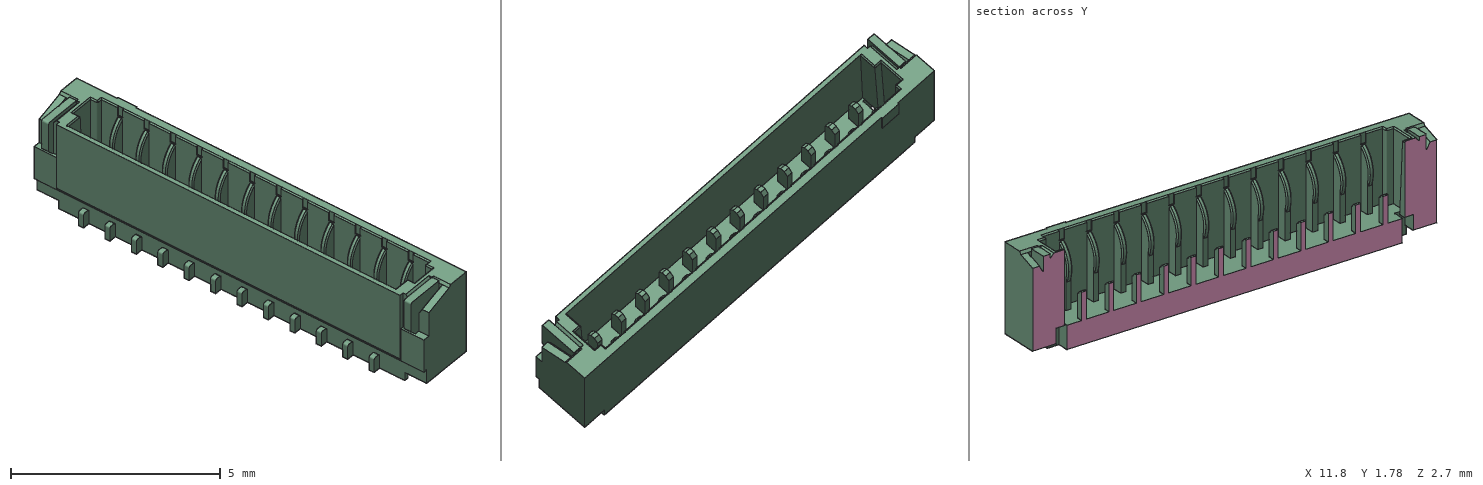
import cadquery as cq

LENGTH = 11.8
DEPTH = 1.78
HEIGHT = 2.7
OVERLAP = 0.02
FRONT = -DEPTH / 2
BACK_RIB_PROUD = 0.04
BACK = DEPTH / 2 - BACK_RIB_PROUD
HALF = LENGTH / 2

BASE_TOP = 0.66
BASE_FRONT = FRONT + 0.21
END_FRONT = FRONT + 0.11
WALL_FRONT = FRONT + 0.07
WALL_HALF = 5.2
WALL_LIP = 0.08
FOOT_HALF = 5.24
FOOT_CLEARANCE = 0.25
BACK_RIB_CENTRE = -4.39
BACK_RIB_WIDTH = 0.57
BACK_RIB_BOTTOM = 2.21

CAVITY_FLOOR = BASE_TOP
CAVITY_HALF = 4.99
CAVITY_BACK = 0.65
CAVITY_FRONT = -0.7
KEY_HALF = 5.2
KEY_BACK = 0.5
KEY_FRONT = -0.25
KEY_FOOT = -0.1
FRONT_FOOT = -0.63
LEAD_IN = 0.04
RAMP_FRONT = CAVITY_FRONT - LEAD_IN
INNER_BACK = CAVITY_BACK - LEAD_IN
WINDOW_INNER = 4.9
WINDOW_BACK = 0.04
WINDOW_FRONT = -0.55

PLATE_INNER = 5.38
PLATE_OUTER = 5.59
PLATE_BACK = 0.19
PLATE_STEP = 1.82
PLATE_ROUND = 0.06
LEDGE = 1.65
SHOULDER_FRONT = FRONT + 0.19
SHOULDER_BEVEL = 0.1
SHOULDER_BEVEL_DROP = 0.11
CHEEK_BACK = 0.25
SLOPE_BACK = PLATE_BACK
SLOPE_TOP = HEIGHT - 0.07
CHEEK_FRONT = -0.59
CHEEK_LOW = 2.37
CHEEK_BEVEL = 0.11
CHEEK_BEVEL_DROP = 0.18

PIN_COUNT = 12
PITCH = 0.8
PIN_WIDTH = 0.15
TAIL_HEIGHT = 0.44
TAIL_ROUND = 0.06
BLADE_FRONT = 0.34
BLADE_TOP = 2.42
BLADE_SHOULDER = 1.42
BLADE_BULGE = (0.4, 2.17)
BLADE_BEVEL = 0.04
PRONG_BACK = -0.13
PRONG_FRONT = -0.46
PRONG_TOP = 1.42
PRONG_BEVEL = 0.11


def box(x0, x1, y0, y1, z0, z1):
    return cq.Workplane("XY").box(x1 - x0, y1 - y0, z1 - z0, centered=False).translate((x0, y0, z0))


def side_profile(points, x0, x1):
    """Extrude a closed (Y, Z) outline from x0 to x1."""
    return cq.Workplane("YZ").polyline(points).close().extrude(x1 - x0).translate((x0, 0, 0))


def both_ends(body):
    return body.union(body.mirror("YZ"))


def housing_block():
    base = box(-HALF, HALF, BASE_FRONT, BACK, FOOT_CLEARANCE, BASE_TOP + OVERLAP)
    foot = box(-FOOT_HALF, FOOT_HALF, BASE_FRONT, BACK, 0, FOOT_CLEARANCE + OVERLAP)
    upper = box(-HALF, HALF, END_FRONT, BACK, BASE_TOP, HEIGHT)
    wall = side_profile(
        [
            (BACK, BASE_TOP),
            (END_FRONT, BASE_TOP),
            (WALL_FRONT, BASE_TOP + WALL_LIP),
            (WALL_FRONT, HEIGHT),
            (BACK, HEIGHT),
        ],
        -WALL_HALF,
        WALL_HALF,
    )
    rib_start = BACK_RIB_CENTRE - BACK_RIB_WIDTH / 2
    rib_end = BACK_RIB_CENTRE + BACK_RIB_WIDTH / 2
    rib = box(rib_start, rib_end, BACK - OVERLAP, DEPTH / 2, BACK_RIB_BOTTOM, HEIGHT)
    return base.union(foot).union(upper).union(wall).union(rib)


def cavity():
    right_side = [
        (CAVITY_HALF, RAMP_FRONT),
        (CAVITY_HALF, KEY_FRONT),
        (KEY_HALF, KEY_FRONT),
        (KEY_HALF, KEY_BACK),
        (CAVITY_HALF, KEY_BACK),
        (CAVITY_HALF, CAVITY_BACK),
    ]
    left_side = [(-x, y) for x, y in reversed(right_side)]
    mouth = cq.Workplane("XY").workplane(offset=HEIGHT).polyline(right_side + left_side).close()
    bevel = mouth.extrude(-LEAD_IN, taper=45)
    well = bevel.faces("<Z").wires().toPending().extrude(CAVITY_FLOOR - HEIGHT + LEAD_IN, combine=False)
    return bevel.union(well)


def cavity_ramps():
    """Fill that makes the front faces of the cavity and its grooves lean in toward the floor."""
    front = side_profile(
        [
            (RAMP_FRONT, HEIGHT),
            (CAVITY_FRONT, HEIGHT),
            (FRONT_FOOT, CAVITY_FLOOR),
            (RAMP_FRONT, CAVITY_FLOOR),
        ],
        -CAVITY_HALF,
        CAVITY_HALF,
    )
    bevel_bottom = HEIGHT - LEAD_IN
    groove = side_profile(
        [
            (KEY_FRONT, bevel_bottom),
            (KEY_FRONT + LEAD_IN, bevel_bottom),
            (KEY_FOOT, CAVITY_FLOOR),
            (KEY_FRONT, CAVITY_FLOOR),
        ],
        CAVITY_HALF - LEAD_IN,
        KEY_HALF,
    )
    return both_ends(groove).union(front)


def floor_windows():
    """Openings from the cavity down through the floor and out of the foot's ends."""
    foot_cut = box(WINDOW_INNER, FOOT_HALF, WINDOW_FRONT, WINDOW_BACK, 0, FOOT_CLEARANCE)
    floor_cut = box(WINDOW_INNER, KEY_HALF, WINDOW_FRONT, WINDOW_BACK, 0, CAVITY_FLOOR)
    return both_ends(foot_cut.union(floor_cut))


def cheek_notches():
    """Open each end above the cheek's short steep fall and long slope, and in front of it."""
    notch = side_profile(
        [
            (CHEEK_BACK, HEIGHT),
            (SLOPE_BACK, SLOPE_TOP),
            (CHEEK_FRONT, CHEEK_LOW),
            (CHEEK_FRONT, LEDGE),
            (END_FRONT, LEDGE),
            (END_FRONT, HEIGHT),
        ],
        PLATE_INNER,
        HALF,
    )
    shoulder_front = box(WALL_HALF, PLATE_INNER, END_FRONT, SHOULDER_FRONT, LEDGE, HEIGHT)
    return both_ends(notch.union(shoulder_front))


def bevel_section(x_plate, x_away, z, drop):
    """Triangle that falls by drop from x_away toward the plate."""
    return [(x_plate, z), (x_away, z), (x_plate, z - drop)]


def plate_bevels():
    """Bevels along both flanks of the retention plates."""
    cheek_edge = PLATE_OUTER + CHEEK_BEVEL
    cheek = (
        cq.Workplane("XZ", origin=(0, SLOPE_BACK, 0))
        .polyline(bevel_section(PLATE_OUTER, cheek_edge, SLOPE_TOP, CHEEK_BEVEL_DROP))
        .close()
        .workplane(offset=SLOPE_BACK - CHEEK_FRONT)
        .polyline(bevel_section(PLATE_OUTER, cheek_edge, CHEEK_LOW, CHEEK_BEVEL_DROP))
        .close()
        .loft(ruled=True)
    )
    shoulder_edge = PLATE_INNER - SHOULDER_BEVEL
    shoulder = (
        cq.Workplane("XZ", origin=(0, SLOPE_BACK, 0))
        .polyline(bevel_section(PLATE_INNER, shoulder_edge, HEIGHT, SHOULDER_BEVEL_DROP))
        .close()
        .extrude(SLOPE_BACK - SHOULDER_FRONT)
    )
    return both_ends(cheek).union(both_ends(shoulder))


def retention_plates():
    plate = side_profile(
        [
            (PLATE_BACK, LEDGE - OVERLAP),
            (END_FRONT + PLATE_ROUND, LEDGE - OVERLAP),
            (END_FRONT + PLATE_ROUND, LEDGE),
            (FRONT + PLATE_ROUND, PLATE_STEP - PLATE_ROUND),
            (FRONT, PLATE_STEP),
            (FRONT, HEIGHT),
            (PLATE_BACK, HEIGHT),
        ],
        PLATE_INNER,
        PLATE_OUTER,
    )
    plate = plate.edges("|X and >Z and <Y").fillet(PLATE_ROUND)
    return both_ends(plate)


def contact():
    blade = (
        cq.Workplane("YZ")
        .moveTo(CAVITY_BACK, CAVITY_FLOOR - OVERLAP)
        .lineTo(BLADE_FRONT, CAVITY_FLOOR - OVERLAP)
        .lineTo(BLADE_FRONT, BLADE_SHOULDER)
        .threePointArc(BLADE_BULGE, (CAVITY_BACK, BLADE_TOP))
        .close()
        .extrude(PIN_WIDTH / 2, both=True)
        .edges("%CIRCLE")
        .chamfer(BLADE_BEVEL)
    )
    prong = side_profile(
        [
            (PRONG_BACK, CAVITY_FLOOR - OVERLAP),
            (PRONG_BACK, PRONG_TOP - PRONG_BEVEL),
            (PRONG_BACK - PRONG_BEVEL, PRONG_TOP),
            (PRONG_FRONT + PRONG_BEVEL, PRONG_TOP),
            (PRONG_FRONT, PRONG_TOP - PRONG_BEVEL),
            (PRONG_FRONT, CAVITY_FLOOR - OVERLAP),
        ],
        -PIN_WIDTH / 2,
        PIN_WIDTH / 2,
    )
    tail = box(-PIN_WIDTH / 2, PIN_WIDTH / 2, FRONT, BASE_FRONT, 0, TAIL_HEIGHT)
    tail = tail.edges("|X and >Z").fillet(TAIL_ROUND)
    return blade.union(prong).union(tail)


def contact_slot():
    """Groove in the back wall above a contact, as deep as the mouth bevel."""
    return box(-PIN_WIDTH / 2, PIN_WIDTH / 2, INNER_BACK, CAVITY_BACK, BLADE_TOP, HEIGHT)


result = housing_block().cut(cavity()).union(cavity_ramps()).cut(floor_windows())
result = result.cut(cheek_notches()).cut(plate_bevels()).union(retention_plates())
for i in range(PIN_COUNT):
    x = (i - (PIN_COUNT - 1) / 2) * PITCH
    result = result.cut(contact_slot().translate((x, 0, 0))).union(contact().translate((x, 0, 0)))